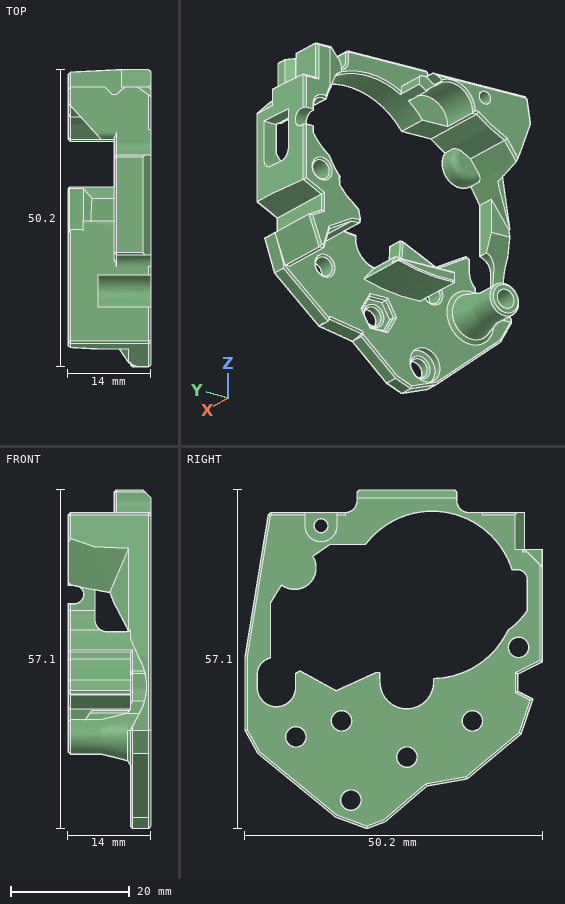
import cadquery as cq
import math


DEPTH = 13.97
HALF_WIDTH = 25.08
HALF_HEIGHT = 28.57
PLATE_FRONT = 10.5
RING_FRONT = 7.75
EDGE = 0.4
BORE_EDGE = 0.35
OVERLAP = 1.0

BORE_CENTRE = (6.5, 10.85)
BORE_R = 14.1
TOP_Z = 24.75
LEDGE_Y = 22.1
LEDGE_Z = 18.5
WALL_OUTLINE = [
    (LEDGE_Y, TOP_Z), (LEDGE_Y, LEDGE_Z), (HALF_WIDTH, LEDGE_Z), (HALF_WIDTH, -0.45),
    (20.95, -2.5), (20.95, -5.4), (23.5, -6.7),
]
CORNER_END_Y = 13.25
CORNER_END_X = 5.6
CORNER_FRONT_Y = 19.4
CORNER_END_R = 1.2
ARM_TOP_Y = -21.1
ARM_FOOT_Z = 0.4

TAB_Y = (-6.2, 10.68)
TAB_FILLET = 1.95
TAB_BACK_CHAMFER = 1.4

LOWER_EDGE = [(12.4, -20.2), (5.6, -21.4)]
LOWER_EDGE_LEAN = 0.5

SMALL_BORE = (2.22, -3.85)
SMALL_BORE_R = 4.5
LEVER_SLOT = (-19.77, -4.8)
LEVER_SLOT_R = 3.2
ARM_INNER_Y = -20.75
ARM_INNER_TOP_Z = 9.5
WALL_INNER_Y = 22.5
BLOCK_UNDERSIDE = [(-18.85, 12.6), (-16.5, 15.85), (-13.4, 17.5), (-10.8, 19.3), (-4.7, 19.3)]

SCREW_R = 1.7
PLATE_HOLES = [(13.27, -10.4), (-8.79, -10.4)]
WALL_HOLE = (21.06, 2.0)
HEX_HOLE = (2.24, -16.5)
HEX_ACROSS_FLATS = 5.6
HEX_DEPTH = 1.5
SPOTFACE_HOLE = (-7.2, -23.75)
SPOTFACE_R = 3.05
SPOTFACE_DEPTH = 1.5
BLOCK_HOLE = (-12.25, 22.5)
BLOCK_HOLE_R = 1.15
NUT_SLOT_FRONT = 5.03
NUT_SLOT_WIDTH = 5.38

STANDOFF = (-16.49, -13.1)
STANDOFF_R = 2.93
STANDOFF_STRAIGHT = 5.56
STANDOFF_FLARE_R = 4.05
STANDOFF_FLARE_X = 10.0
STANDOFF_ROOT_R = 4.8
STANDOFF_BASE_X = 12.2

PAD = (-16.7, 15.4)
PAD_R = 3.65
PAD_ROUND = 1.3

WINDOW_X = (4.52, 11.5)
WINDOW_Z = (4.65, 13.5)
WINDOW_R = 2.0
WINDOW_INNER_Y = 17.0
NOTCH_Z = 10.9
NOTCH_R = 1.53
NOTCH_DEPTH = 2.6
WALL_DRAFT_X = 9.0
WALL_DRAFT = 0.45

BLOCK_END_Y = -0.5
BLOCK_END_R = 0.6
BLOCK_FOOT_Z = 4.7
FACET_BACK_X = 10.2
TIP_SETBACK = 2.45
POCKET_CENTRE = (-5.5, 19.4)
POCKET_R = 4.45

RIB_Y = (-6.2, 5.3)
RIB_TOP_Z = -8.65
RIB_TIP_Z = -10.6
RIB_TIP_X = 2.55
RIB_SLOPE_END_X = 4.0
RIB_EDGE = 0.2

SCOOP_Y = -17.5
SCOOP_Z = (-12.0, 3.45)


def prism_x(points, x0, x1):
    """Polygon of (y, z) points, extruded along X from x0 to x1."""
    return cq.Workplane("YZ").workplane(offset=x0).polyline(points).close().extrude(x1 - x0)


def rod_x(centre, radius, x0, x1):
    """Cylinder along X."""
    return cq.Workplane("YZ").workplane(offset=x0).center(*centre).circle(radius).extrude(x1 - x0)


def countersunk_bore(centre, radius, mouth_x, end_x):
    """Bore along X whose front mouth at mouth_x carries an edge break."""
    bore = rod_x(centre, radius, mouth_x - OVERLAP, end_x)
    mouth = (
        cq.Workplane("YZ").workplane(offset=mouth_x).center(*centre)
        .circle(radius + BORE_EDGE).extrude(BORE_EDGE, taper=45)
    )
    return bore.union(mouth)


def prism_z(points, z0, z1):
    """Polygon of (x, y) points, extruded along Z from z0 to z1."""
    return cq.Workplane("XY").workplane(offset=z0).polyline(points).close().extrude(z1 - z0)


def tetrahedron(a, b, c, d):
    """Solid with four (x, y, z) corners."""
    faces = []
    for corners in ((a, b, c), (a, b, d), (a, c, d), (b, c, d)):
        wire = cq.Wire.makePolygon([cq.Vector(*p) for p in corners], close=True)
        faces.append(cq.Face.makeFromWires(wire))
    solid = cq.Solid.makeSolid(cq.Shell.makeShell(faces))
    return cq.Workplane(obj=solid.fix())


def arm_outer_y(z):
    """Y of the leaning -Y side at height z."""
    slope = (HALF_WIDTH + ARM_TOP_Y) / (TOP_Z - ARM_FOOT_Z)
    return ARM_TOP_Y - slope * (TOP_Z - z)


def point_on_facet(a, b, c, x, z):
    """Point at the given x and z on the plane through three (x, y, z) points."""
    normal = (cq.Vector(*b) - cq.Vector(*a)).cross(cq.Vector(*c) - cq.Vector(*a))
    y = a[1] - (normal.x * (x - a[0]) + normal.z * (z - a[2])) / normal.y
    return (x, y, z)


def make_opening():
    """Everything that passes through the frame along X inside its outline."""
    x0 = -OVERLAP
    x1 = DEPTH + OVERLAP
    slot_y, slot_z = LEVER_SLOT
    small_y, small_z = SMALL_BORE
    main = (
        cq.Workplane("YZ").workplane(offset=x0)
        .moveTo(*BORE_CENTRE)
        .lineTo(BORE_CENTRE[0], -2.5)
        .lineTo(small_y, small_z)
        .lineTo(small_y - SMALL_BORE_R, small_z)
        .lineTo(-2.35, -2.2)
        .lineTo(-2.9, -2.2)
        .lineTo(-9.7, -5.3)
        .lineTo(-15.8, -1.95)
        .lineTo(slot_y + LEVER_SLOT_R, -2.4)
        .lineTo(slot_y + LEVER_SLOT_R, slot_z)
        .threePointArc((slot_y, slot_z - LEVER_SLOT_R), (slot_y - LEVER_SLOT_R, slot_z))
        .lineTo(slot_y - LEVER_SLOT_R, -2.4)
        .threePointArc((-22.3, -0.7), (ARM_INNER_Y, 0.2))
        .lineTo(ARM_INNER_Y, ARM_INNER_TOP_Z)
    )
    for point in BLOCK_UNDERSIDE:
        main = main.lineTo(*point)
    main = main.close().extrude(x1 - x0)
    wall_relief = (
        cq.Workplane("YZ").workplane(offset=x0)
        .moveTo(12.0, 15.05)
        .lineTo(20.5, 15.05)
        .threePointArc((21.9, 14.7), (WALL_INNER_Y, 13.3))
        .lineTo(WALL_INNER_Y, 8.2)
        .threePointArc((20.7, 6.05), (19.2, 4.85))
        .lineTo(12.0, 4.85)
        .close().extrude(x1 - x0)
    )
    return (
        main.union(wall_relief)
        .union(rod_x(BORE_CENTRE, BORE_R, x0, x1))
        .union(rod_x(SMALL_BORE, SMALL_BORE_R, x0, x1))
    )


def make_plate(opening):
    """Base plate carrying the whole outline."""
    outline = [
        *WALL_OUTLINE, (21.5, -12.6), *LOWER_EDGE, (-1.4, -27.4),
        (-4.5, -HALF_HEIGHT), (-9.75, -26.65), (-22.9, -15.9), (-HALF_WIDTH, -12.0),
        (-HALF_WIDTH, ARM_FOOT_Z), (arm_outer_y(TOP_Z - EDGE), TOP_Z - EDGE), (ARM_TOP_Y + EDGE, TOP_Z),
    ]
    plate = prism_x(outline, PLATE_FRONT, DEPTH)
    plate = plate.faces(">X").edges().chamfer(EDGE).cut(opening)
    exposed = cq.selectors.BoxSelector((0, -HALF_WIDTH - 1, -HALF_HEIGHT - 1), (DEPTH, 20.0, 4.0))
    return plate.faces("<X").edges(exposed).chamfer(BORE_EDGE)


def make_ring(opening):
    """Upper ring segment with the rectangular tab on top."""
    right, left = TAB_Y
    f = TAB_FILLET
    hidden_end_y = 15.0
    bend = f * (1 - math.sqrt(0.5))
    ring = (
        cq.Workplane("YZ").workplane(offset=RING_FRONT)
        .moveTo(hidden_end_y, LEDGE_Z)
        .lineTo(hidden_end_y, TOP_Z)
        .lineTo(left + f, TOP_Z)
        .threePointArc((left + bend, TOP_Z + bend), (left, TOP_Z + f))
        .lineTo(left, HALF_HEIGHT)
        .lineTo(right, HALF_HEIGHT)
        .lineTo(right, TOP_Z + f)
        .threePointArc((right - bend, TOP_Z + bend), (right - f, TOP_Z))
        .lineTo(right - f, LEDGE_Z)
        .close().extrude(DEPTH - RING_FRONT)
        .cut(opening)
    )
    ring = ring.edges("|X and >Z").chamfer(EDGE)
    tab_front = cq.selectors.BoxSelector((0, right - f, 23), (DEPTH, left + f, 30))
    ring = ring.faces("<X").edges(tab_front).chamfer(BORE_EDGE)
    back_corner = (
        cq.Workplane("XZ").workplane(offset=-HALF_WIDTH)
        .moveTo(DEPTH - TAB_BACK_CHAMFER, HALF_HEIGHT)
        .lineTo(DEPTH, HALF_HEIGHT - TAB_BACK_CHAMFER)
        .lineTo(DEPTH, HALF_HEIGHT)
        .close().extrude(2 * HALF_WIDTH)
    )
    return ring.cut(back_corner)


def make_left_wall(opening):
    """Full-depth +Y wall: upper corner, side wall and the foot below it."""
    profile = [
        (CORNER_END_Y, TOP_Z), *WALL_OUTLINE,
        (21.4, -12.2), (20.45, -12.1), (19.3, -8.4), (14.8, -6.0), (13.1, -5.9),
        (12.9, -5.3), (13.3, -3.5), (15.8, -1.5), (17.1, 0.0), (17.2, 1.2),
        (CORNER_END_Y, BORE_CENTRE[1]),
    ]
    wall = prism_x(profile, 0, PLATE_FRONT + BORE_EDGE).cut(opening)
    draft = prism_z(
        [(-OVERLAP, HALF_WIDTH - WALL_DRAFT * (1 + OVERLAP / WALL_DRAFT_X)),
         (WALL_DRAFT_X, HALF_WIDTH), (-OVERLAP, HALF_WIDTH + OVERLAP)],
        -HALF_HEIGHT, HALF_HEIGHT,
    )
    wall = wall.cut(draft)
    wall = wall.faces("<X").edges().chamfer(EDGE)

    wall = wall.cut(prism_z(
        [(0, CORNER_FRONT_Y), (CORNER_END_X, CORNER_END_Y), (0, CORNER_END_Y)],
        BORE_CENTRE[1], HALF_HEIGHT,
    ))
    corner_end = cq.selectors.BoxSelector(
        (5.0, CORNER_END_Y - 0.1, TOP_Z - 0.1), (PLATE_FRONT, CORNER_END_Y + 0.1, TOP_Z + 0.1))
    wall = wall.edges(corner_end).fillet(CORNER_END_R)
    wall = wall.cut(prism_z([(6.2, LEDGE_Y), (7.4, 20.9), (8.15, 20.9), (9.5, LEDGE_Y)], LEDGE_Z, TOP_Z))
    return wall


def cut_left_wall_details(body):
    """Window, cable notch and bevels of the +Y wall."""
    window = (
        cq.Workplane("XY")
        .box(WINDOW_X[1] - WINDOW_X[0], OVERLAP + HALF_WIDTH - WINDOW_INNER_Y, WINDOW_Z[1] - WINDOW_Z[0],
             centered=False)
        .translate((WINDOW_X[0], WINDOW_INNER_Y, WINDOW_Z[0]))
        .edges("|Y and <Z").fillet(WINDOW_R)
    )
    body = body.cut(window)
    notch_end = NOTCH_DEPTH - NOTCH_R
    notch = (
        cq.Workplane("XZ").workplane(offset=-HALF_WIDTH - OVERLAP)
        .moveTo(-OVERLAP, NOTCH_Z + NOTCH_R)
        .lineTo(notch_end, NOTCH_Z + NOTCH_R)
        .threePointArc((NOTCH_DEPTH, NOTCH_Z), (notch_end, NOTCH_Z - NOTCH_R))
        .lineTo(-OVERLAP, NOTCH_Z - NOTCH_R)
        .close().extrude(HALF_WIDTH + OVERLAP - WINDOW_INNER_Y)
    )
    body = body.cut(notch)
    ledge_run = HALF_WIDTH - LEDGE_Y
    ledge_bevel = prism_x(
        [(LEDGE_Y, LEDGE_Z), (HALF_WIDTH, LEDGE_Z - ledge_run), (HALF_WIDTH, LEDGE_Z)], WALL_DRAFT_X, DEPTH)
    body = body.cut(ledge_bevel)
    back_corner = prism_z([(11.7, LEDGE_Y), (DEPTH, 20.5), (DEPTH, LEDGE_Y)], LEDGE_Z, TOP_Z)
    return body.cut(back_corner)


def make_right_block(opening):
    """Full-depth -Y block with its faceted lower corner and front pocket."""
    block = prism_x(
        [(BLOCK_END_Y, TOP_Z), (ARM_TOP_Y + EDGE, TOP_Z), (arm_outer_y(TOP_Z - EDGE), TOP_Z - EDGE),
         (arm_outer_y(BLOCK_FOOT_Z), BLOCK_FOOT_Z),
         (ARM_INNER_Y, ARM_INNER_TOP_Z), (-10.0, 14.0), (BLOCK_END_Y, 18.0)],
        0, PLATE_FRONT,
    )
    block = block.cut(opening)
    block = block.edges("|X and >Y and >Z").fillet(BLOCK_END_R)
    above_foot = cq.selectors.BoxSelector((-1, -24, 12), (1, 1, 30))
    block = block.faces("<X").edges(above_foot).chamfer(EDGE)

    front_x = -0.01
    front_top = (front_x, arm_outer_y(20.5), 20.5)
    mid_top = (4.45, arm_outer_y(18.95), 18.95)
    back_top = (FACET_BACK_X, arm_outer_y(18.7), 18.7)
    inner = (6.9, -19.6, 11.0)
    back_foot = (FACET_BACK_X, arm_outer_y(BLOCK_FOOT_Z), BLOCK_FOOT_Z)
    front_low = point_on_facet(front_top, mid_top, inner, front_x, 15.5)
    under = point_on_facet(front_top, mid_top, inner, 3.56, 11.4)
    front_under = (front_x, -18.75, 12.3)
    outside = (-2.0, -32.0, -10.0)
    for a, b, c in (
        (front_top, mid_top, inner), (front_top, inner, under), (front_top, under, front_low),
        (mid_top, back_top, inner), (back_top, back_foot, inner), (front_low, under, front_under),
    ):
        block = block.cut(tetrahedron(a, b, c, outside))

    block = block.cut(countersunk_bore(POCKET_CENTRE, POCKET_R, 0, RING_FRONT))
    tip = prism_x([(OVERLAP, TOP_Z), (-1.9, TOP_Z), (-3.55, 23.65), (-5.5, 18.0), (OVERLAP, 18.0)],
                  -OVERLAP, TIP_SETBACK)
    return block.cut(tip)


def make_edge_bevel():
    """Wedge that leans the lower +Y edge of the plate inward toward the front."""
    start = cq.Vector(0, *LOWER_EDGE[0])
    run = cq.Vector(0, *LOWER_EDGE[1]) - start
    section = cq.Plane(origin=start.toTuple(), xDir=(1, 0, 0), normal=run.toTuple())
    return (
        cq.Workplane(section)
        .moveTo(PLATE_FRONT - OVERLAP, -OVERLAP)
        .lineTo(PLATE_FRONT - OVERLAP, LOWER_EDGE_LEAN + BORE_EDGE)
        .lineTo(PLATE_FRONT, LOWER_EDGE_LEAN + BORE_EDGE)
        .lineTo(PLATE_FRONT + BORE_EDGE, LOWER_EDGE_LEAN)
        .lineTo(DEPTH - EDGE, 0)
        .lineTo(DEPTH - EDGE, -OVERLAP)
        .close().extrude(run.Length)
    )


def make_scoop():
    """Hollow across the plate front on the -Y side."""
    return (
        cq.Workplane("XZ").workplane(offset=-SCOOP_Y)
        .moveTo(PLATE_FRONT, SCOOP_Z[1])
        .lineTo(12.03, 0.0)
        .threePointArc((13.2, -4.3), (12.35, -8.4))
        .lineTo(PLATE_FRONT, SCOOP_Z[0])
        .close().extrude(HALF_WIDTH + SCOOP_Y + OVERLAP)
    )


def revolve_about_x(points):
    """Profile of (x, radius) points revolved about the X axis."""
    return cq.Workplane("XY").polyline(points).close().revolve(360, (0, 0, 0), (1, 0, 0))


def make_standoff():
    """Standoff with a straight shank and a flare; its root flange is open over the scoop."""
    shank = revolve_about_x([
        (0, 0), (0, STANDOFF_R - EDGE), (EDGE, STANDOFF_R), (STANDOFF_STRAIGHT, STANDOFF_R),
        (STANDOFF_FLARE_X, STANDOFF_FLARE_R), (STANDOFF_BASE_X, STANDOFF_FLARE_R), (STANDOFF_BASE_X, 0),
    ])
    root = revolve_about_x([
        (STANDOFF_FLARE_X, 0), (STANDOFF_FLARE_X, STANDOFF_FLARE_R),
        (PLATE_FRONT, STANDOFF_ROOT_R), (PLATE_FRONT, 0),
    ])
    y, z = STANDOFF
    above_scoop = prism_z(
        [(0, SCOOP_Y), (DEPTH, SCOOP_Y), (DEPTH, -HALF_WIDTH), (0, -HALF_WIDTH)], SCOOP_Z[0], SCOOP_Z[1])
    return shank.translate((0, y, z)).union(root.translate((0, y, z)).cut(above_scoop))


def make_rib():
    """Curved rib in front of the plate with a lowered tip."""
    right, left = RIB_Y
    rib = (
        cq.Workplane("YZ")
        .moveTo(left, -11.0)
        .lineTo(3.35, RIB_TOP_Z)
        .lineTo(-1.4, -9.0)
        .lineTo(right, -9.1)
        .lineTo(right, -12.4)
        .threePointArc((-0.5, -12.2), (left, -11.0))
        .close().extrude(PLATE_FRONT + BORE_EDGE)
    )
    tip_cut = (
        cq.Workplane("XZ").workplane(offset=-HALF_WIDTH)
        .moveTo(-OVERLAP, RIB_TIP_Z)
        .lineTo(RIB_TIP_X, RIB_TIP_Z)
        .lineTo(RIB_SLOPE_END_X, RIB_TOP_Z)
        .lineTo(-OVERLAP, RIB_TOP_Z)
        .close().extrude(2 * HALF_WIDTH)
    )
    return rib.cut(tip_cut).faces("<X").edges().chamfer(RIB_EDGE)


def make_pad():
    """Round pad with a rounded front rim."""
    return rod_x(PAD, PAD_R, PLATE_FRONT, DEPTH).faces("<X").edges().fillet(PAD_ROUND)


def screw_hole(centre, mouth_x):
    """Countersunk hole through to the back."""
    return countersunk_bore(centre, SCREW_R, mouth_x, DEPTH + OVERLAP)


def cut_holes(body):
    """All screw holes with their recesses."""
    for centre in PLATE_HOLES:
        body = body.cut(screw_hole(centre, PLATE_FRONT))
    body = body.cut(screw_hole(WALL_HOLE, 0))
    body = body.cut(rod_x(STANDOFF, SCREW_R, -OVERLAP, DEPTH + OVERLAP))

    hexagon = (
        cq.Workplane("YZ").workplane(offset=PLATE_FRONT).center(*HEX_HOLE)
        .polygon(6, HEX_ACROSS_FLATS / math.cos(math.pi / 6)).extrude(HEX_DEPTH)
    )
    hexagon_mouth = (
        cq.Workplane("YZ").workplane(offset=PLATE_FRONT).center(*HEX_HOLE)
        .polygon(6, (HEX_ACROSS_FLATS + 2 * BORE_EDGE) / math.cos(math.pi / 6))
        .extrude(BORE_EDGE, taper=45)
    )
    body = body.cut(hexagon).cut(hexagon_mouth).cut(screw_hole(HEX_HOLE, PLATE_FRONT + HEX_DEPTH))

    spotface = rod_x(SPOTFACE_HOLE, SPOTFACE_R, PLATE_FRONT, PLATE_FRONT + SPOTFACE_DEPTH)
    body = body.cut(spotface).cut(screw_hole(SPOTFACE_HOLE, PLATE_FRONT + SPOTFACE_DEPTH))

    body = body.cut(rod_x(BLOCK_HOLE, BLOCK_HOLE_R, -OVERLAP, DEPTH))
    slot_r = NUT_SLOT_WIDTH / 2
    hole_y, hole_z = BLOCK_HOLE
    slot = prism_x(
        [(hole_y - slot_r, hole_z), (hole_y + slot_r, hole_z),
         (hole_y + slot_r, TOP_Z + OVERLAP), (hole_y - slot_r, TOP_Z + OVERLAP)],
        NUT_SLOT_FRONT, DEPTH + OVERLAP,
    )
    return body.cut(slot.union(rod_x(BLOCK_HOLE, slot_r, NUT_SLOT_FRONT, DEPTH + OVERLAP)))


opening = make_opening()
body = make_plate(opening).cut(make_scoop()).cut(make_edge_bevel())
body = body.union(make_ring(opening))
body = body.union(make_left_wall(opening))
body = body.union(make_right_block(opening))
body = cut_left_wall_details(body)
body = body.union(make_pad())
body = body.union(make_rib())
body = body.union(make_standoff())
result = cut_holes(body)